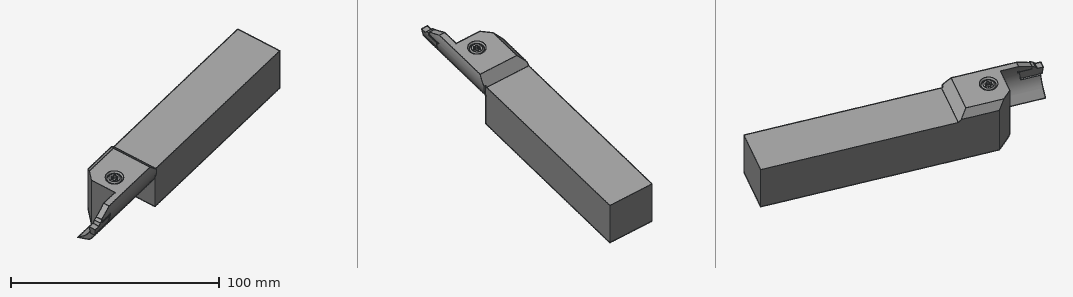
import cadquery as cq
import math


length = 151.0
shank_size = 25.0
head_top = 30.0
head_front = 22.0
head_back = 50.1
ramp_foot = 50.9
head_ramp_run = head_top - shank_size
corner_chamfer = 8.0
top_chamfer = 3.5

blade_front = 1.5
outer_radius = 15.1
outer_max_x = 26.1
outer_center_x = outer_max_x - outer_radius
outer_center_z = shank_size
blade_foot = (15.0, 12.0)
inner_arc_start = (18.5, 15.1)
inner_top_x = 22.0
clamp_slope_back = 12.8
clamp_slope_front = 4.1
clamp_slope_end_z = 26.3
clamp_nose = 5.7

insert_length = 12.1
insert_left = 23.0
insert_right = 26.6
insert_foot_left = 23.3
insert_foot_right = 25.8
edge_height = 24.9
seat_height = 20.5
clamp_underside = 25.4
land_length = 3.0
front_relief = 0.5
back_relief = 0.5
slit_height = 0.5
slit_length = 0.9

screw_x = 15.7
screw_y = 30.2
countersink_diameter = 8.9
head_diameter = 7.2
flat_diameter = 5.5
thread_diameter = 5.0
screw_recess = 0.3
screw_head_height = 5.0
screw_length = 14.3
socket_diameter = 3.6
socket_lobe_diameter = 1.0
socket_depth = 1.8
socket_lobes = 6

tangent_offset = outer_radius * math.sqrt(0.5)
tangent_point = (outer_center_x + tangent_offset, outer_center_z - tangent_offset)
outer_arc_middle = (outer_max_x, outer_center_z)
outer_top_x = outer_center_x + math.sqrt(outer_radius**2 - (head_top - outer_center_z) ** 2)
outer_top = (outer_top_x, head_top)
clearance_x = tangent_point[0] - tangent_point[1]

clamp_slope = (head_top - clamp_slope_end_z) / (clamp_slope_back - clamp_slope_front)
nose_z = clamp_slope_end_z + clamp_slope * (clamp_nose - clamp_slope_front)


def extrude_along_y(outline, y_start, y_end):
    """Extrude an outline drawn in (x, z) from y_start to y_end."""
    return outline.extrude(y_start - y_end).translate((0, y_start, 0))


def make_shank():
    return cq.Workplane("XY").box(shank_size, length - head_back, shank_size, centered=False).translate(
        (0, head_back, 0)
    )


def make_head():
    outline = (
        cq.Workplane("XZ")
        .lineTo(clearance_x, 0)
        .lineTo(*tangent_point)
        .threePointArc(outer_arc_middle, outer_top)
        .lineTo(top_chamfer, head_top)
        .lineTo(0, head_top - top_chamfer)
        .close()
    )
    head = extrude_along_y(outline, head_front, ramp_foot)
    return head.cut(corner_cutter()).cut(ramp_cutter()).cut(overhang_cutter())


def corner_cutter():
    """Vertical chamfer at the left front corner of the head."""
    return (
        cq.Workplane("XY")
        .moveTo(0, head_front)
        .lineTo(corner_chamfer, head_front)
        .lineTo(0, head_front + corner_chamfer)
        .close()
        .extrude(head_top)
    )


def ramp_cutter():
    """Material above the ramp from the head top to the shank top."""
    return (
        cq.Workplane("YZ")
        .moveTo(ramp_foot - head_ramp_run, head_top)
        .lineTo(ramp_foot, shank_size)
        .lineTo(ramp_foot, head_top)
        .close()
        .extrude(outer_max_x)
    )


def overhang_cutter():
    """Material beside the shank, behind the rear end of the overhang."""
    overhang = outer_max_x - shank_size
    return cq.Workplane("XY").box(overhang, ramp_foot - head_back, head_top, centered=False).translate(
        (shank_size, head_back, 0)
    )


def make_blade():
    outline = (
        cq.Workplane("XZ")
        .moveTo(*blade_foot)
        .lineTo(*inner_arc_start)
        .tangentArcPoint((inner_top_x, head_top), relative=False)
        .lineTo(*outer_top)
        .threePointArc(outer_arc_middle, tangent_point)
        .close()
    )
    blade = extrude_along_y(outline, blade_front, head_front)
    return blade.cut(clamp_slope_cutter()).cut(seat_cutter())


def clamp_slope_cutter():
    """Material above the sloping clamp and in front of its nose."""
    return (
        cq.Workplane("YZ")
        .moveTo(clamp_slope_back, head_top)
        .lineTo(clamp_nose, nose_z)
        .lineTo(clamp_nose, clamp_underside)
        .lineTo(0, clamp_underside)
        .lineTo(0, head_top)
        .close()
        .extrude(insert_right)
    )


def seat_cutter():
    """Insert seat, open to the front and both sides, with a slit behind it below the clamp."""
    return (
        cq.Workplane("YZ")
        .moveTo(0, seat_height)
        .lineTo(insert_length - back_relief, seat_height)
        .lineTo(insert_length, clamp_underside - slit_height)
        .lineTo(insert_length + slit_length, clamp_underside - slit_height)
        .lineTo(insert_length + slit_length, clamp_underside)
        .lineTo(0, clamp_underside)
        .close()
        .extrude(insert_right)
    )


def screw_envelope(bottom_z, top_z):
    """Threaded shank and cylindrical head, ending at top_z."""
    head_bottom = head_top - screw_recess - screw_head_height
    shank = cq.Workplane("XY", origin=(screw_x, screw_y, bottom_z)).circle(thread_diameter / 2)
    head = cq.Workplane("XY", origin=(screw_x, screw_y, head_bottom)).circle(head_diameter / 2)
    return shank.extrude(head_bottom - bottom_z).union(head.extrude(top_z - head_bottom))


def make_screw():
    top_z = head_top - screw_recess
    bevel = (head_diameter - flat_diameter) / 2
    screw = screw_envelope(top_z - screw_length, top_z).faces(">Z").chamfer(bevel)
    top = cq.Workplane("XY", origin=(screw_x, screw_y, top_z))
    core_radius = (socket_diameter - socket_lobe_diameter) / 2
    socket = top.circle(core_radius).extrude(-socket_depth)
    lobes = top.polarArray(core_radius, 0, 360, socket_lobes).circle(socket_lobe_diameter / 2)
    return screw.cut(socket).cut(lobes.extrude(-socket_depth, combine=False))


def screw_hole():
    """Blind stepped hole for the screw, with a 45 degree countersink."""
    hole = screw_envelope(head_top - screw_recess - screw_length, head_top)
    depth = (countersink_diameter - head_diameter) / 2
    countersink = cq.Workplane("XY", origin=(screw_x, screw_y, head_top)).circle(countersink_diameter / 2)
    return hole.union(countersink.extrude(-depth, taper=45))


def make_holder():
    return make_shank().union(make_head()).union(make_blade()).cut(screw_hole())


def make_insert():
    side = (
        cq.Workplane("YZ")
        .moveTo(0, edge_height)
        .lineTo(front_relief, seat_height)
        .lineTo(insert_length - back_relief, seat_height)
        .lineTo(insert_length, clamp_underside - slit_height)
        .lineTo(insert_length, clamp_underside)
        .lineTo(clamp_nose, clamp_underside)
        .lineTo(clamp_nose, nose_z)
        .lineTo(clamp_slope_front, clamp_slope_end_z)
        .lineTo(land_length, edge_height)
        .close()
        .extrude(insert_right)
    )
    section = (
        cq.Workplane("XZ")
        .moveTo(insert_foot_left, seat_height)
        .lineTo(insert_foot_right, seat_height)
        .lineTo(insert_right, edge_height)
        .lineTo(insert_right, head_top)
        .lineTo(insert_left, head_top)
        .lineTo(insert_left, edge_height)
        .close()
    )
    return side.intersect(extrude_along_y(section, 0, insert_length))


holder = make_holder()
insert = make_insert()
screw = make_screw()
result = cq.Compound.makeCompound([holder.val(), insert.val(), screw.val()])